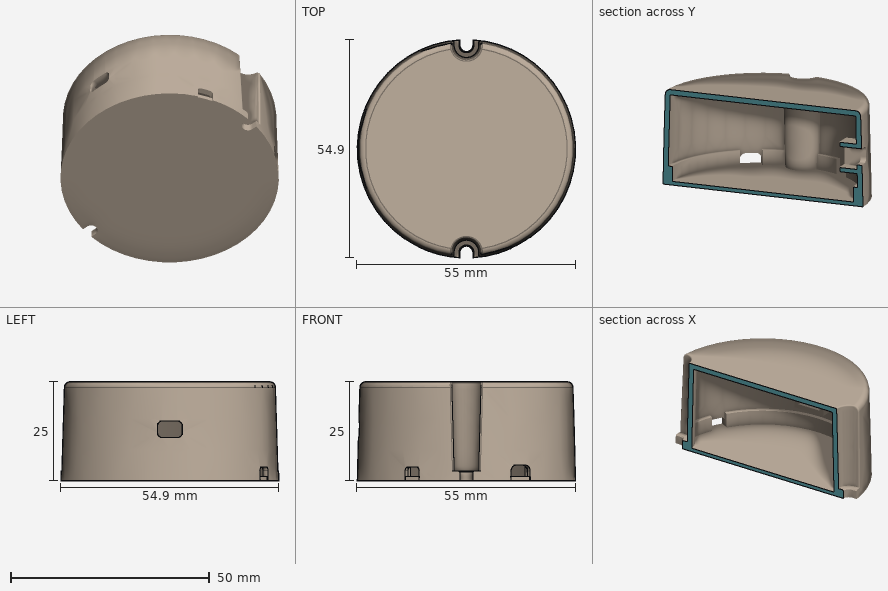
import cadquery as cq

height = 25.0
base_radius = 27.5
top_radius = 26.85
rim_fillet = 1.5
wall = 1.5

plate_thickness = 1.1
plate_inset = 0.3
plate_radius = base_radius - plate_inset
skirt_top = 5.0
lining_clearance = 0.05
skirt_thickness = 1.25

channel_center = 26.1
channel_floor = 2.5
channel_floor_radius = 3.1
channel_top_radius = 3.7
channel_edge_fillet = 0.35
slot_radius = 1.6
slot_chamfer = 0.3
channel_angles = (0, 180)

notches = (
    (-120, 4.0, 3.5, 0.8),
    (-60, 5.55, 4.0, 1.5),
)

window_width = 6.2
window_height = 4.2
window_center_z = 13.0
window_corner = 1.25

sleeve_wall = 1.2
sleeve_floor_z = 9.7
sleeve_end_x = -21.0

overshoot = 3.0
wall_cut_depth = 3.0


def cone(bottom_radius, upper_radius, bottom_z, top_z):
    """Round drafted body about the Z axis."""
    return (
        cq.Workplane("XY", origin=(0, 0, bottom_z))
        .circle(bottom_radius)
        .workplane(offset=top_z - bottom_z)
        .circle(upper_radius)
        .loft(ruled=True)
    )


def u_section(plane, radius):
    """U outline, rounded towards the part axis and open towards +Y."""
    open_end = base_radius + overshoot
    return (
        plane
        .moveTo(-radius, open_end)
        .lineTo(-radius, channel_center)
        .threePointArc((0, channel_center - radius), (radius, channel_center))
        .lineTo(radius, open_end)
        .close()
    )


def u_prism(bottom_radius, upper_radius, bottom_z, top_z):
    """Drafted U-shaped body at the +Y end."""
    lower = u_section(cq.Workplane("XY", origin=(0, 0, bottom_z)), bottom_radius)
    upper = u_section(lower.workplane(offset=top_z - bottom_z), upper_radius)
    return upper.loft(ruled=True)


def at_both_ends(body):
    """Copies of a +Y end body at every screw channel."""
    return [body.rotate((0, 0, 0), (0, 0, 1), angle) for angle in channel_angles]


def outer_body():
    return cone(base_radius, top_radius, 0, height).faces(">Z").edges().fillet(rim_fillet)


def cut_channels(body):
    groove = u_prism(channel_floor_radius, channel_top_radius, channel_floor, height)
    for cutter in at_both_ends(groove):
        body = body.cut(cutter)
    return body


def round_channel_edges(body):
    """Round the edges where each groove meets the top and the outer wall."""
    half_width = channel_top_radius + channel_edge_fillet
    inner_y = channel_center - half_width
    outer_y = base_radius + overshoot
    for side in (-1, 1):
        groove_mouth = cq.selectors.BoxSelector(
            (-half_width, side * inner_y, channel_floor + channel_edge_fillet),
            (half_width, side * outer_y, height + overshoot),
        )
        body = body.edges(groove_mouth).fillet(channel_edge_fillet)
    return body


def cavity():
    """Hollow inside, leaving a wall around the shell, roof and screw channels."""
    hollow = cone(base_radius - wall, top_radius - wall, plate_thickness, height - wall)
    column = u_prism(channel_floor_radius + wall, channel_top_radius + wall, 0, height)
    for post in at_both_ends(column):
        hollow = hollow.cut(post)
    return hollow


def notch_cutter(direction, width, notch_height, corner):
    """Radial cutter through the wall, rounded at its two upper corners."""
    length = wall_cut_depth + overshoot
    return (
        cq.Workplane("XY")
        .box(length, width, notch_height, centered=(False, True, False))
        .edges("|X and >Z")
        .fillet(corner)
        .translate((base_radius - wall_cut_depth, 0, 0))
        .rotate((0, 0, 0), (0, 0, 1), direction)
    )


def window_cutter():
    length = wall_cut_depth + overshoot
    return (
        cq.Workplane("XY")
        .box(length, window_width, window_height, centered=(False, True, True))
        .edges("|X")
        .fillet(window_corner)
        .translate((-base_radius - overshoot, 0, window_center_z))
    )


def window_sleeve(hollow):
    """Rectangular tube from the shell wall inwards, open at its inner end."""
    roof_z = window_center_z + window_height / 2
    tube_width = window_width + 2 * lining_clearance
    tube_height = roof_z - sleeve_floor_z
    length = sleeve_end_x + base_radius
    tube = (
        cq.Workplane("YZ", origin=(-base_radius, 0, (roof_z + sleeve_floor_z) / 2))
        .rect(tube_width + 2 * sleeve_wall, tube_height + 2 * sleeve_wall)
        .rect(tube_width, tube_height)
        .extrude(length)
    )
    return tube.intersect(hollow)


def base_plate():
    return cq.Workplane("XY").circle(plate_radius).extrude(plate_thickness)


def plate_skirt(hollow):
    """Upright ring against the shell wall, interrupted at the cable notches."""
    skirt = (
        cq.Workplane("XY")
        .circle(base_radius)
        .circle(base_radius - wall - skirt_thickness)
        .extrude(skirt_top)
    )
    for direction, width, _, _ in notches:
        gap_width = width + 2 * lining_clearance
        gap = cq.Workplane("XY").box(base_radius, gap_width, skirt_top, centered=(False, True, False))
        skirt = skirt.cut(gap.rotate((0, 0, 0), (0, 0, 1), direction))
    return skirt.intersect(hollow)


def screw_slot():
    """Through slot with a chamfered upper edge at the groove floor."""
    straight = u_prism(slot_radius, slot_radius, 0, channel_floor)
    flare = u_prism(
        slot_radius,
        slot_radius + slot_chamfer,
        channel_floor - slot_chamfer,
        channel_floor,
    )
    return straight.union(flare)


interior = cavity()
result = round_channel_edges(cut_channels(outer_body())).cut(interior)
for notch in notches:
    result = result.cut(notch_cutter(*notch))
result = result.cut(window_cutter())
result = result.union(base_plate())
result = result.union(plate_skirt(interior))
result = result.union(window_sleeve(interior))
for slot in at_both_ends(screw_slot()):
    result = result.cut(slot)